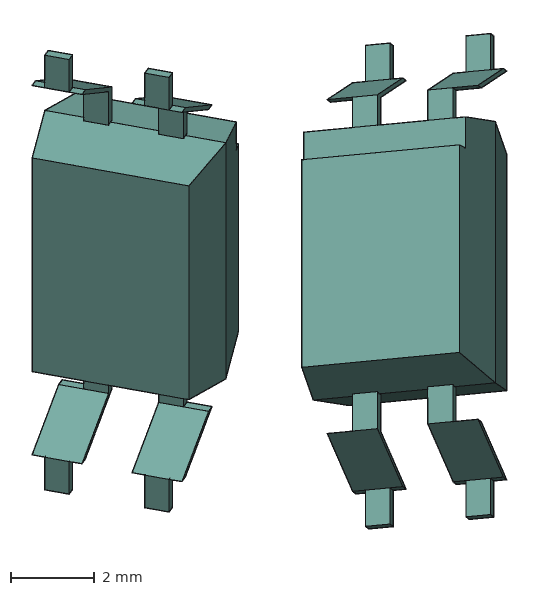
import cadquery as cq
import math

body_width = 4.6
body_height = 6.5
body_depth = 3.5
draft_angle = 10.0
half_depth = body_depth / 2
taper_inset = half_depth * math.tan(math.radians(draft_angle))

step_depth = 0.3
step_floor_z = 2.22

overall_height = 11.96
lead_pitch = 2.54
lead_thickness = 0.25
blade_width = 1.27
neck_width = blade_width / 2
foot_width = 0.62
neck_length = 0.9
foot_length = 0.9
neck_embed = 0.5

body_top_z = body_height / 2
foot_end_z = overall_height / 2
blade_start_z = body_top_z + neck_length
blade_end_z = foot_end_z - foot_length
neck_center_y = 0.0
foot_center_y = -half_depth - lead_thickness / 2
lead_center_x = lead_pitch / 2
neck_center_x = lead_center_x - (blade_width - neck_width) / 2


def make_body_half(direction):
    """Half of the body, tapering from the parting plane towards -Y (direction 1) or +Y (-1)."""
    return (
        cq.Workplane("XZ")
        .rect(body_width, body_height)
        .workplane(offset=direction * half_depth)
        .rect(body_width - 2 * taper_inset, body_height - 2 * taper_inset)
        .loft(ruled=True)
    )


def make_step_cutter():
    """Block that removes the top rear edge of the body over its full width."""
    return cq.Workplane("XY").box(
        body_width, step_depth, body_top_z - step_floor_z, centered=(True, False, False)
    ).translate((0, half_depth - step_depth, step_floor_z))


def make_upright_strip(center_x, center_y, width, start_z, end_z):
    """Vertical strip of lead material between two heights."""
    return cq.Workplane("XY").box(
        width, lead_thickness, end_z - start_z, centered=(True, True, False)
    ).translate((center_x, center_y, start_z))


def make_blade():
    """Wide slanted plate with horizontal ends, joining the neck to the foot."""
    half_thickness = lead_thickness / 2
    return (
        cq.Workplane("YZ")
        .moveTo(neck_center_y - half_thickness, blade_start_z)
        .lineTo(neck_center_y + half_thickness, blade_start_z)
        .lineTo(foot_center_y + half_thickness, blade_end_z)
        .lineTo(foot_center_y - half_thickness, blade_end_z)
        .close()
        .extrude(blade_width / 2, both=True)
        .translate((lead_center_x, 0, 0))
    )


def make_lead():
    """Lead at the +X side of the top end; its neck lines up with the blade's inner edge."""
    neck = make_upright_strip(
        neck_center_x, neck_center_y, neck_width, body_top_z - neck_embed, blade_start_z
    )
    foot = make_upright_strip(lead_center_x, foot_center_y, foot_width, blade_end_z, foot_end_z)
    return neck.union(make_blade()).union(foot)


body = make_body_half(1).union(make_body_half(-1)).cut(make_step_cutter())

right_top_lead = make_lead()
top_leads = right_top_lead.union(right_top_lead.mirror("YZ"))
bottom_leads = top_leads.mirror("XY")

result = body.union(top_leads).union(bottom_leads)